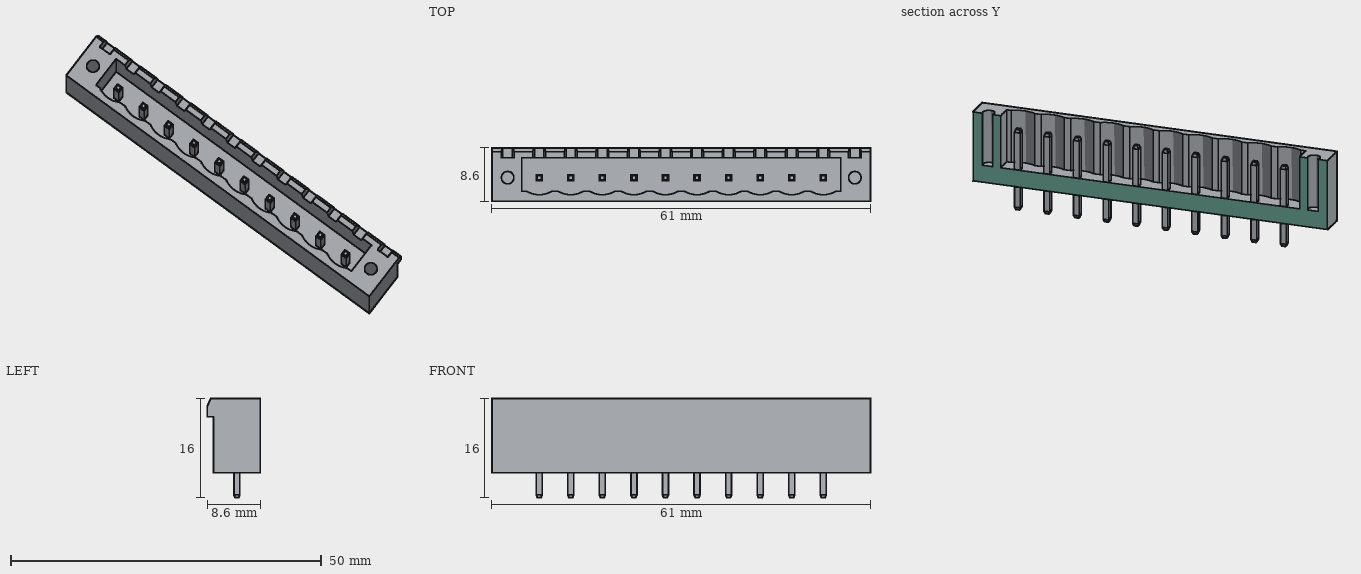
import cadquery as cq

pin_count = 10
pitch = 5.08
pin_side = 1.0
pin_tip_chamfer = 0.2
pin_tip_length = 0.5
pin_drop = 4.0
pin_rise = 9.9

length = (pin_count + 2) * pitch
depth = 7.6
height = 12.0
pin_y = depth / 2

lip_overhang = 1.0
lip_height = 3.0
lip_chamfer_y = 0.6
lip_chamfer_z = 1.3
lip_back = depth + lip_overhang

end_block_length = 4.8
cavity_length = length - 2 * end_block_length
cavity_front = 1.6
cavity_back = 7.0
cavity_floor = 3.0
scallop_width = 4.0
scallop_depth = 0.55

notch_top_width = 2.1
notch_floor_width = 1.5
notch_depth = 1.8

screw_hole_diameter = 2.0
screw_hole_depth = 9.0

pin_positions = [(i - (pin_count - 1) / 2) * pitch for i in range(pin_count)]
screw_x = (length - pitch) / 2
screw_positions = [-screw_x, screw_x]


def make_housing():
    """Solid block with the chamfered lip, extruded along X."""
    profile = [
        (0, 0),
        (depth, 0),
        (depth, height - lip_height),
        (lip_back, height - lip_height),
        (lip_back, height - lip_chamfer_z),
        (lip_back - lip_chamfer_y, height),
        (0, height),
    ]
    return cq.Workplane("YZ").polyline(profile).close().extrude(length / 2, both=True)


def make_cavity():
    """Plug cavity whose front wall has one shallow arc in front of each pin."""
    half_length = cavity_length / 2
    half_scallop = scallop_width / 2
    outline = cq.Workplane("XY").workplane(offset=cavity_floor)
    outline = outline.moveTo(-half_length, cavity_back).lineTo(-half_length, cavity_front)
    for x in pin_positions:
        outline = outline.lineTo(x - half_scallop, cavity_front)
        outline = outline.threePointArc(
            (x, cavity_front - scallop_depth),
            (x + half_scallop, cavity_front),
        )
    outline = outline.lineTo(half_length, cavity_front).lineTo(half_length, cavity_back)
    return outline.close().extrude(height - cavity_floor)


def make_notch(x):
    """Slot with slanted sides, from the cavity's back face out through the lip."""
    floor_z = height - notch_depth
    section = [
        (x - notch_floor_width / 2, floor_z),
        (x + notch_floor_width / 2, floor_z),
        (x + notch_top_width / 2, height),
        (x - notch_top_width / 2, height),
    ]
    slot = cq.Workplane("XZ", origin=(0, lip_back, 0)).polyline(section).close()
    return slot.extrude(lip_back - cavity_back)


def make_screw_hole(x):
    """Blind hole from the top face."""
    hole = cq.Workplane("XY").circle(screw_hole_diameter / 2).extrude(screw_hole_depth)
    return hole.translate((x, pin_y, height - screw_hole_depth))


def make_pin(x):
    """Square contact pin with both ends tapered."""
    pin = cq.Workplane("XY").box(
        pin_side, pin_side, pin_drop + pin_rise, centered=(True, True, False)
    )
    pin = pin.faces("<Z or >Z").chamfer(pin_tip_length, pin_tip_chamfer)
    return pin.translate((x, pin_y, -pin_drop))


result = make_housing().cut(make_cavity())
for x in pin_positions + screw_positions:
    result = result.cut(make_notch(x))
for x in screw_positions:
    result = result.cut(make_screw_hole(x))
for x in pin_positions:
    result = result.union(make_pin(x))